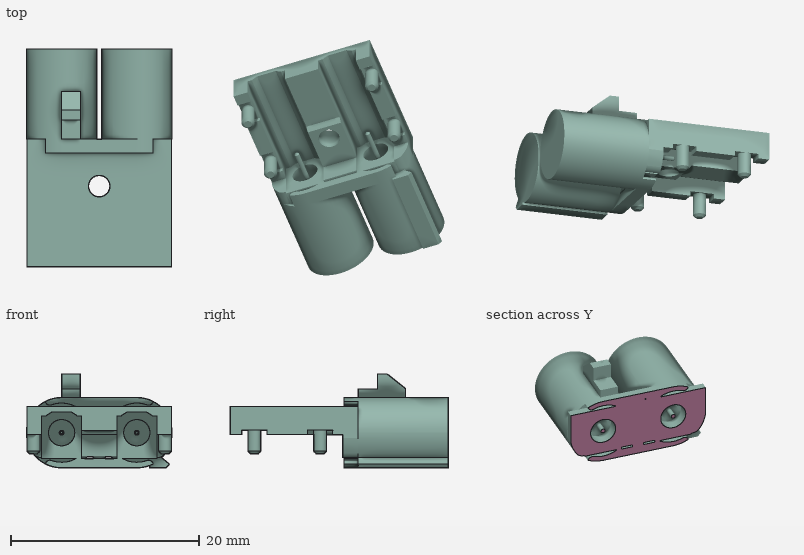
import cadquery as cq
import math


BARREL_PITCH = 8.0
BARREL_D = 7.5
BARREL_LENGTH = 9.6
BARREL_R = BARREL_D / 2
BARREL_X = BARREL_PITCH / 2
BARREL_XS = (-BARREL_X, BARREL_X)
STADIUM_LENGTH = BARREL_PITCH + BARREL_D

FLANGE_LENGTH = 1.5
FLANGE_WIDTH = 11.5
FLANGE_BORE_D = 6.3
FLANGE_INNER_Z = 2.75
FLANGE_LOBE_R = 0.5
LOBE_MID_ANGLE = math.radians(-45)

PLATE_WIDTH = 15.4
PLATE_LENGTH = 13.6
PLATE_TOP = 2.8
PLATE_THICKNESS = 3.0
PLATE_BOTTOM = PLATE_TOP - PLATE_THICKNESS
PLATE_HOLE_D = 2.25
PLATE_HOLE_Y = -5.0
WALL_LENGTH = 1.65
WALL_BOTTOM = -2.65
WALL_CORNER_R = 1.0
WALL_RELIEF = 0.08
STRUT_D = 1.3

CHANNEL_WIDTH = 4.25
CHANNEL_BOTTOM = -FLANGE_INNER_Z
CHANNEL_SHOULDER_Z = 1.8
CHANNEL_TOP = 2.2
CHANNEL_ROOF_HALF_WIDTH = 1.05
CHANNEL_BEVEL_HALF_WIDTH = 1.65
CHANNEL_BACK_Y = -FLANGE_LENGTH
RIB_WIDTH = BARREL_PITCH - CHANNEL_WIDTH

RIB_END_BOTTOM = 0.25
RIB_RAMP_Y = -6.5

CONTACT_BORE_D = 2.8
CONTACT_BORE_DEPTH = 2.0
CONTACT_D = 0.51
CONTACT_TIP_Y = -4.2
CONTACT_CHAMFER = 0.13

PEG_D = 1.4
PEG_X = (PLATE_WIDTH - PEG_D) / 2
PEG_YS = (-4.03, -11.03)
PEG_BOTTOM = -2.25
PEG_CHAMFER = 0.28
PEG_SLOT_WIDTH = 2.65
PEG_SLOT_TOP = 0.3

LATCH_X = -BARREL_X
LATCH_WIDTH = 2.0
LATCH_TOP = BARREL_R + 2.5
LATCH_STEP_Z = 4.65
LATCH_NOSE_Z = 4.7
LATCH_STEP_Y = 2.05
LATCH_CREST_Y = 3.1
LATCH_NOSE_Y = 5.05

KEY_INNER_X = 5.35
KEY_CORNER_X = 7.1
KEY_TIP_X = 7.48
KEY_TIP_Z = -3.35
KEY_ROOT_X = 6.65


def box(x_range, y_range, z_range):
    """Axis-aligned box from its limits along X, Y and Z."""
    limits = (x_range, y_range, z_range)
    size = [high - low for low, high in limits]
    low_corner = tuple(low for low, high in limits)
    return cq.Workplane("XY").box(*size, centered=False).translate(low_corner)


def centred(width):
    """Limits of a width centred on zero."""
    return (-width / 2, width / 2)


def section(y):
    """XZ sketch plane at the given Y; extrusions run towards -Y."""
    return cq.Workplane("XZ", origin=(0, y, 0))


def stadium(length):
    """Outline around both barrels, from Y = 0 towards -Y."""
    return section(0).slot2D(STADIUM_LENGTH, BARREL_D).extrude(length)


def barrels():
    """Both barrels, lengthened at the rear by the flange that is trimmed out of them."""
    barrel = section(BARREL_LENGTH).pushPoints([(x, 0) for x in BARREL_XS]).circle(BARREL_R)
    middle = box(centred(BARREL_PITCH), (-FLANGE_LENGTH, 0), centred(BARREL_D))
    return barrel.extrude(BARREL_LENGTH + FLANGE_LENGTH).union(middle)


def flange_zone():
    """Zone kept for the upper flange band; its lobes are tangent to the barrels' bore circle."""
    bore_r = FLANGE_BORE_D / 2
    lobe_offset = bore_r + FLANGE_LOBE_R
    lobe_x = FLANGE_WIDTH / 2 - FLANGE_LOBE_R
    lobe_angle = math.acos((lobe_x - BARREL_X) / lobe_offset)
    lobe_z = lobe_offset * math.sin(lobe_angle)
    inner_angle = math.pi - math.asin(FLANGE_INNER_Z / bore_r)

    def bore_point(angle):
        return (BARREL_X + bore_r * math.cos(angle), bore_r * math.sin(angle))

    lobe_mid_x = lobe_x + FLANGE_LOBE_R * math.cos(LOBE_MID_ANGLE)
    lobe_mid_z = lobe_z + FLANGE_LOBE_R * math.sin(LOBE_MID_ANGLE)
    right_half = (
        section(0)
        .moveTo(0, BARREL_D)
        .lineTo(FLANGE_WIDTH / 2, BARREL_D)
        .lineTo(FLANGE_WIDTH / 2, lobe_z)
        .threePointArc((lobe_mid_x, lobe_mid_z), bore_point(lobe_angle))
        .threePointArc(bore_point((lobe_angle + inner_angle) / 2), bore_point(inner_angle))
        .lineTo(0, FLANGE_INNER_Z)
        .close()
        .extrude(FLANGE_LENGTH)
    )
    return right_half.union(right_half.mirror("YZ"))


def flange_trim():
    """Everything around and between the two flange bands."""
    upper = flange_zone()
    trim = box(centred(2 * STADIUM_LENGTH), (-FLANGE_LENGTH, 0), centred(STADIUM_LENGTH))
    return trim.cut(upper).cut(upper.mirror("XY"))


def plate():
    return box(centred(PLATE_WIDTH), (-PLATE_LENGTH, 0), (PLATE_BOTTOM, PLATE_TOP))


def wall():
    """Wall under the plate, following the barrels and rounded into its flat bottom."""
    limits = box(centred(PLATE_WIDTH), (-WALL_LENGTH, 0), (WALL_BOTTOM, 0))
    lower = stadium(WALL_LENGTH).intersect(limits)
    lower = lower.faces("<Z").edges("|Y").fillet(WALL_CORNER_R)
    relief = box(centred(RIB_WIDTH), (-WALL_LENGTH, 0), (WALL_BOTTOM, WALL_BOTTOM + WALL_RELIEF))
    return lower.cut(relief)


def strut():
    """Small post between the wall and the lower flange band."""
    strut_y = -FLANGE_LENGTH / 2
    height = WALL_BOTTOM + WALL_RELIEF + FLANGE_INNER_Z
    return cq.Workplane("XY", origin=(0, strut_y, -FLANGE_INNER_Z)).circle(STRUT_D / 2).extrude(height)


def latch():
    outline = [
        (0, 0),
        (0, LATCH_STEP_Z),
        (LATCH_STEP_Y, LATCH_STEP_Z),
        (LATCH_STEP_Y, LATCH_TOP),
        (LATCH_CREST_Y, LATCH_TOP),
        (LATCH_NOSE_Y, LATCH_NOSE_Z),
        (LATCH_NOSE_Y, 0),
    ]
    return cq.Workplane("YZ", origin=(LATCH_X, 0, 0)).polyline(outline).close().extrude(LATCH_WIDTH)


def coding_key():
    root_z = -math.sqrt(BARREL_R**2 - (KEY_ROOT_X - BARREL_X) ** 2)
    outline = [
        (KEY_INNER_X, 0),
        (KEY_INNER_X, -BARREL_R),
        (KEY_CORNER_X, -BARREL_R),
        (KEY_TIP_X, KEY_TIP_Z),
        (KEY_ROOT_X, root_z),
    ]
    return section(BARREL_LENGTH).polyline(outline).close().extrude(BARREL_LENGTH)


def channel(x):
    """Terminal channel: a straight slot with a bevelled roof, open at the plate's -Y edge."""
    half_width = CHANNEL_WIDTH / 2
    right_half = [
        (half_width, CHANNEL_BOTTOM),
        (half_width, CHANNEL_SHOULDER_Z),
        (CHANNEL_BEVEL_HALF_WIDTH, CHANNEL_SHOULDER_Z),
        (CHANNEL_ROOF_HALF_WIDTH, CHANNEL_TOP),
    ]
    left_half = [(-dx, z) for dx, z in reversed(right_half)]
    outline = [(x + dx, z) for dx, z in right_half + left_half]
    length = CHANNEL_BACK_Y + PLATE_LENGTH
    return section(CHANNEL_BACK_Y).polyline(outline).close().extrude(length)


def terminal_block(x):
    """Block closing the +Y end of a channel; it reaches down to the lower flange band."""
    x_range = (x - CHANNEL_WIDTH / 2, x + CHANNEL_WIDTH / 2)
    return box(x_range, (-WALL_LENGTH, 0), (CHANNEL_BOTTOM, 0))


def contact_bore(x):
    depth = CONTACT_BORE_DEPTH
    return section(CHANNEL_BACK_Y + depth).center(x, 0).circle(CONTACT_BORE_D / 2).extrude(depth)


def contact(x):
    base_y = CHANNEL_BACK_Y + CONTACT_BORE_DEPTH
    pin = section(base_y).center(x, 0).circle(CONTACT_D / 2).extrude(base_y - CONTACT_TIP_Y)
    return pin.faces("<Y").chamfer(CONTACT_CHAMFER)


def rib_end_cut():
    """Thins the free end of the centre rib, with a 45 degree ramp."""
    outline = [
        (-PLATE_LENGTH, PLATE_BOTTOM),
        (RIB_RAMP_Y, PLATE_BOTTOM),
        (RIB_RAMP_Y - (RIB_END_BOTTOM - PLATE_BOTTOM), RIB_END_BOTTOM),
        (-PLATE_LENGTH, RIB_END_BOTTOM),
    ]
    return cq.Workplane("YZ").polyline(outline).close().extrude(RIB_WIDTH / 2, both=True)


def peg_slot(side, y):
    """Slot across the outer leg of the plate, around one peg."""
    leg_width = PLATE_WIDTH / 2 - BARREL_X - CHANNEL_WIDTH / 2
    leg_x = side * (PLATE_WIDTH - leg_width) / 2
    x_range = (leg_x - leg_width / 2, leg_x + leg_width / 2)
    y_range = (y - PEG_SLOT_WIDTH / 2, y + PEG_SLOT_WIDTH / 2)
    return box(x_range, y_range, (PLATE_BOTTOM, PEG_SLOT_TOP))


def peg(side, y):
    plane = cq.Workplane("XY", origin=(side * PEG_X, y, PEG_BOTTOM))
    return plane.circle(PEG_D / 2).extrude(PEG_SLOT_TOP - PEG_BOTTOM).faces("<Z").chamfer(PEG_CHAMFER)


def plate_hole():
    plane = cq.Workplane("XY", origin=(0, PLATE_HOLE_Y, PLATE_BOTTOM))
    return plane.circle(PLATE_HOLE_D / 2).extrude(PLATE_THICKNESS)


body = barrels()
body = body.cut(flange_trim())
for block in (plate().union(wall()), strut(), latch(), coding_key()):
    body = body.union(block)

for barrel_x in BARREL_XS:
    body = body.union(terminal_block(barrel_x)).cut(channel(barrel_x))
    body = body.cut(contact_bore(barrel_x)).union(contact(barrel_x))

body = body.cut(rib_end_cut()).cut(plate_hole())

for peg_side in (-1, 1):
    for peg_y in PEG_YS:
        body = body.cut(peg_slot(peg_side, peg_y)).union(peg(peg_side, peg_y))

result = body